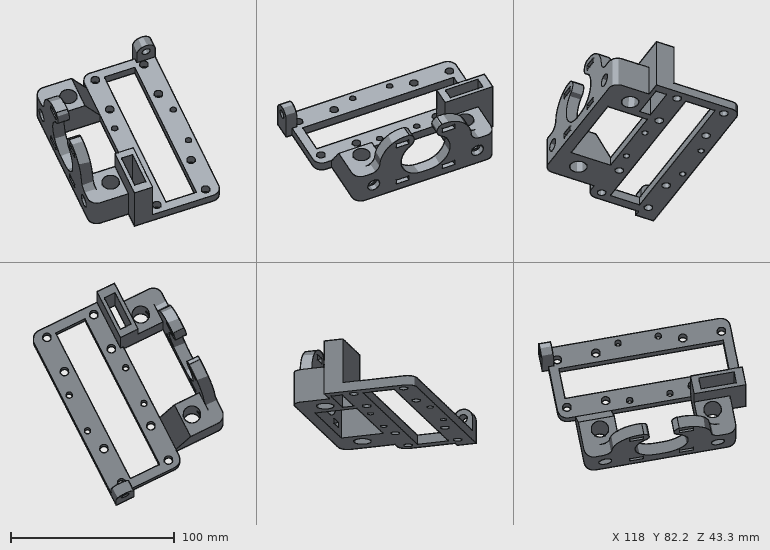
import cadquery as cq


FRAME_LENGTH = 114.0
FRAME_FRONT_Y = 34.5
FRAME_BACK_Y = 82.2
FRAME_THICKNESS = 6.0
CORNER_RADIUS = 6.0
WINDOW_LENGTH = 102.0
WINDOW_WIDTH = 20.0
WINDOW_Y = 57.6

LARGE_HOLE_DIAMETER = 5.2
LARGE_HOLE_SPACINGS_X = (54.0, 102.0)
LARGE_HOLE_SPACING_Y = 32.0
SMALL_HOLE_DIAMETER = 3.8
SMALL_HOLE_SPACING_X = 25.0
SMALL_HOLE_SPACING_Y = 38.5

LUG_LEFT_X = -61.0
LUG_THICKNESS = 7.2
LUG_RADIUS = 6.1
LUG_HOLE_Z = 14.3
LUG_HOLE_DIAMETER = 5.2

LEG_OUTER_X = 47.1
LEG_INNER_X = 24.8
LEG_HEIGHT = 21.0
LEG_SLOPE_LENGTH = 10.0
ROD_DIAMETER = 10.6
ROD_X = 35.0
ROD_Y = 17.6
SCREW_Z = 10.7
SCREW_DIAMETER = 5.2
SCREW_HEAD_DIAMETER = 8.0
SCREW_HEAD_DEPTH = 4.0

WALL_THICKNESS = 7.5
WALL_HEIGHT = 43.3
SHOULDER_RADIUS = 6.0
JAW_OUTER_X = 30.9
JAW_OUTER_RADIUS = 17.75
JAW_TOP_OUTER_X = 15.4
JAW_TOP_INNER_X = 11.0
JAW_TIP_X = 9.6
JAW_TIP_RADIUS = 5.35
CLAMP_Z = 22.2
OPENING_RADIUS = 13.9
OPENING_FLAT_LENGTH = 5.2

SLOT_SPACING = 31.0
SLOT_LENGTH = 8.5
SLOT_HEIGHT = 3.3

TOWER_DEPTH = 12.0
TOWER_HEIGHT = 34.2
POCKET_LENGTH = 22.0
POCKET_WIDTH = 7.3
POCKET_X = 40.5
POCKET_Y = 30.55

FRAME_Y = (FRAME_FRONT_Y + FRAME_BACK_Y) / 2
FRAME_RIGHT_X = FRAME_LENGTH / 2
LEG_TOP_BACK_Y = FRAME_FRONT_Y - LEG_SLOPE_LENGTH
LEG_WIDTH = LEG_OUTER_X - LEG_INNER_X


def box(x_min, x_max, y_min, y_max, height):
    """Block standing on Z = 0."""
    return cq.Workplane("XY").box(
        x_max - x_min, y_max - y_min, height, centered=False
    ).translate((x_min, y_min, 0))


def vertical_cutter(diameter, points):
    """Upright cylinders through the whole height of the part."""
    return cq.Workplane("XY").pushPoints(points).circle(diameter / 2).extrude(WALL_HEIGHT)


def make_frame():
    """Windowed plate with two rounded corners and its screw holes."""
    plate = box(-FRAME_RIGHT_X, FRAME_RIGHT_X, FRAME_FRONT_Y, FRAME_BACK_Y, FRAME_THICKNESS)
    plate = plate.edges("|Z and >X and >Y").fillet(CORNER_RADIUS)
    plate = plate.edges("|Z and <X and <Y").fillet(CORNER_RADIUS)
    window = (
        cq.Workplane("XY").center(0, WINDOW_Y).rect(WINDOW_LENGTH, WINDOW_WIDTH).extrude(FRAME_THICKNESS)
    )
    large_points = [
        (side * spacing / 2, WINDOW_Y + end * LARGE_HOLE_SPACING_Y / 2)
        for spacing in LARGE_HOLE_SPACINGS_X
        for side in (-1, 1)
        for end in (-1, 1)
    ]
    small_points = [
        (side * SMALL_HOLE_SPACING_X / 2, FRAME_Y + end * SMALL_HOLE_SPACING_Y / 2)
        for side in (-1, 1)
        for end in (-1, 1)
    ]
    plate = plate.cut(window)
    plate = plate.cut(vertical_cutter(LARGE_HOLE_DIAMETER, large_points))
    return plate.cut(vertical_cutter(SMALL_HOLE_DIAMETER, small_points))


def make_lug():
    """Round-topped pivot lug, bored along X."""
    front_y = FRAME_BACK_Y - 2 * LUG_RADIUS
    center_y = FRAME_BACK_Y - LUG_RADIUS
    lug = (
        cq.Workplane("YZ", origin=(LUG_LEFT_X, 0, 0))
        .moveTo(front_y, 0)
        .lineTo(FRAME_BACK_Y, 0)
        .lineTo(FRAME_BACK_Y, LUG_HOLE_Z)
        .threePointArc((center_y, LUG_HOLE_Z + LUG_RADIUS), (front_y, LUG_HOLE_Z))
        .close()
        .extrude(LUG_THICKNESS)
    )
    bore = (
        cq.Workplane("YZ", origin=(LUG_LEFT_X, center_y, LUG_HOLE_Z))
        .circle(LUG_HOLE_DIAMETER / 2)
        .extrude(LUG_THICKNESS)
    )
    return lug.cut(bore)


def make_leg(side):
    """Leg with a rounded front corner and a slope down to the frame."""
    leg = (
        cq.Workplane("YZ", origin=(LEG_INNER_X, 0, 0))
        .moveTo(0, 0)
        .lineTo(FRAME_FRONT_Y, 0)
        .lineTo(FRAME_FRONT_Y, FRAME_THICKNESS)
        .lineTo(LEG_TOP_BACK_Y, LEG_HEIGHT)
        .lineTo(0, LEG_HEIGHT)
        .close()
        .extrude(LEG_WIDTH)
        .edges("|Z and >X and <Y")
        .fillet(CORNER_RADIUS)
    )
    return leg if side > 0 else leg.mirror("YZ")


def make_clamp_wall():
    """Front wall rising into two hooked jaws around the flat-bottomed opening."""
    shoulder_z = LEG_HEIGHT + SHOULDER_RADIUS
    shoulder_x = JAW_OUTER_X + SHOULDER_RADIUS
    flat_x = OPENING_FLAT_LENGTH / 2
    opening_bottom_z = CLAMP_Z - OPENING_RADIUS
    tip_z = CLAMP_Z + (OPENING_RADIUS**2 - (JAW_TIP_X - flat_x) ** 2) ** 0.5
    opening_side = (flat_x + OPENING_RADIUS, CLAMP_Z)
    half = (
        cq.Workplane("XZ")
        .moveTo(0, 0)
        .lineTo(LEG_OUTER_X - CORNER_RADIUS, 0)
        .lineTo(LEG_OUTER_X - CORNER_RADIUS, LEG_HEIGHT)
        .lineTo(shoulder_x, LEG_HEIGHT)
        .radiusArc((JAW_OUTER_X, shoulder_z), SHOULDER_RADIUS)
        .radiusArc((JAW_TOP_OUTER_X, WALL_HEIGHT), -JAW_OUTER_RADIUS)
        .lineTo(JAW_TOP_INNER_X, WALL_HEIGHT)
        .radiusArc((JAW_TIP_X, tip_z), -JAW_TIP_RADIUS)
        .threePointArc(opening_side, (flat_x, opening_bottom_z))
        .lineTo(0, opening_bottom_z)
        .close()
        .extrude(-WALL_THICKNESS)
    )
    slots = (
        cq.Workplane("XZ", origin=(0, 0, CLAMP_Z))
        .rarray(SLOT_SPACING, SLOT_SPACING, 2, 2)
        .rect(SLOT_LENGTH, SLOT_HEIGHT)
        .extrude(-WALL_THICKNESS)
    )
    return half.union(half.mirror("YZ")).cut(slots)


def make_tower():
    """Plain block over the back of the right leg."""
    return box(LEG_INNER_X, FRAME_RIGHT_X, LEG_TOP_BACK_Y, LEG_TOP_BACK_Y + TOWER_DEPTH, TOWER_HEIGHT)


def make_tower_pocket():
    """Rectangular passage down through the tower."""
    return (
        cq.Workplane("XY").center(POCKET_X, POCKET_Y).rect(POCKET_LENGTH, POCKET_WIDTH).extrude(TOWER_HEIGHT)
    )


def make_leg_bores(side):
    """Upright rod bore and the counterbored screw hole that reaches it from the front."""
    rod = vertical_cutter(ROD_DIAMETER, [(side * ROD_X, ROD_Y)])
    front = cq.Workplane("XZ", origin=(side * ROD_X, 0, SCREW_Z))
    screw = front.circle(SCREW_DIAMETER / 2).extrude(-ROD_Y)
    head = front.circle(SCREW_HEAD_DIAMETER / 2).extrude(-SCREW_HEAD_DEPTH)
    return rod.union(screw).union(head)


result = make_frame().union(make_lug()).union(make_clamp_wall()).union(make_tower())
for leg_side in (-1, 1):
    result = result.union(make_leg(leg_side))
for leg_side in (-1, 1):
    result = result.cut(make_leg_bores(leg_side))
result = result.cut(make_tower_pocket())